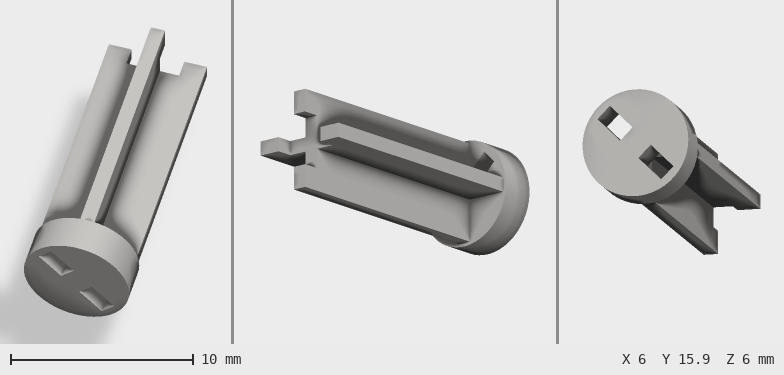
import cadquery as cq

total_length = 15.9
head_diameter = 6.0
head_length = 2.0
rib_span = 5.6
rib_thickness = 0.81
notch_width = 3.0
notch_depth = 1.0
slot_width = 1.0
slot_inner_distance = 0.73
slot_outer_distance = 2.55
slot_angle = 45

slot_length = slot_outer_distance - slot_inner_distance
slot_center_distance = (slot_inner_distance + slot_outer_distance) / 2


def block(x_size, z_size, y_start, y_end):
    """Box centred on the Y axis in X and Z, between two Y positions."""
    length = y_end - y_start
    return cq.Workplane("XY").box(x_size, length, z_size).translate((0, y_start + length / 2, 0))


def make_head():
    """Round disc at the front of the part."""
    return cq.Workplane("XZ").circle(head_diameter / 2).extrude(-head_length)


def make_stem():
    """Cross-shaped stem with a square notch in the middle of its far end."""
    flat_rib = block(rib_span, rib_thickness, 0, total_length)
    upright_rib = block(rib_thickness, rib_span, 0, total_length)
    notch = block(notch_width, notch_width, total_length - notch_depth, total_length)
    return flat_rib.union(upright_rib).cut(notch)


def make_slot(side):
    """Radial slot through the head; side +1 and -1 are opposite each other."""
    slot = block(slot_length, slot_width, 0, head_length)
    slot = slot.translate((side * slot_center_distance, 0, 0))
    return slot.rotate((0, 0, 0), (0, 1, 0), slot_angle)


head = make_head()
for side in (-1, 1):
    head = head.cut(make_slot(side))

stem = make_stem().cut(block(head_diameter, head_diameter, 0, head_length))
result = head.union(stem)